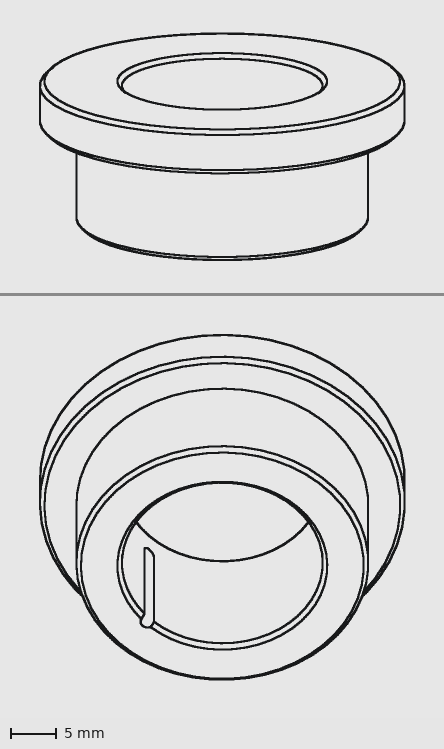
import cadquery as cq

flange_diameter = 40.0
body_diameter = 32.0
bore_diameter = 22.0
bore_mouth_diameter = 23.0
total_height = 16.0
flange_thickness = 5.0

groove_width = 1.5
groove_depth = 1.0
groove_top = 13.0

bore_radius = bore_diameter / 2
mouth_radius = bore_mouth_diameter / 2
edge_chamfer = mouth_radius - bore_radius
flange_bottom = total_height - flange_thickness


def chamfered_disc(diameter, bottom, height):
    """Upright disc with both rims chamfered."""
    disc = cq.Workplane("XY").workplane(offset=bottom).circle(diameter / 2).extrude(height)
    return disc.edges("%CIRCLE").chamfer(edge_chamfer)


def chamfered_bore():
    """Through bore that widens at both ends by the edge chamfer."""
    profile = [
        (0, 0),
        (mouth_radius, 0),
        (bore_radius, edge_chamfer),
        (bore_radius, total_height - edge_chamfer),
        (mouth_radius, total_height),
        (0, total_height),
    ]
    return cq.Workplane("XZ").polyline(profile).close().revolve(360, (0, 0), (0, 1))


def bore_groove():
    """Ball-ended groove cutter: a round floor joined to the bore by straight side walls."""
    groove_radius = groove_width / 2
    round_center = bore_radius + groove_depth - groove_radius
    straight_height = groove_top - groove_radius
    rod = cq.Workplane("XY").center(round_center, 0).circle(groove_radius).extrude(straight_height)
    ball = cq.Workplane("XY").sphere(groove_radius).translate((round_center, 0, straight_height))
    side_walls = (
        cq.Workplane("YZ")
        .moveTo(-groove_radius, 0)
        .lineTo(groove_radius, 0)
        .lineTo(groove_radius, straight_height)
        .threePointArc((0, groove_top), (-groove_radius, straight_height))
        .close()
        .extrude(round_center)
    )
    return rod.union(ball).union(side_walls)


body = chamfered_disc(body_diameter, 0, total_height)
flange = chamfered_disc(flange_diameter, flange_bottom, flange_thickness)
result = body.union(flange).cut(chamfered_bore()).cut(bore_groove())